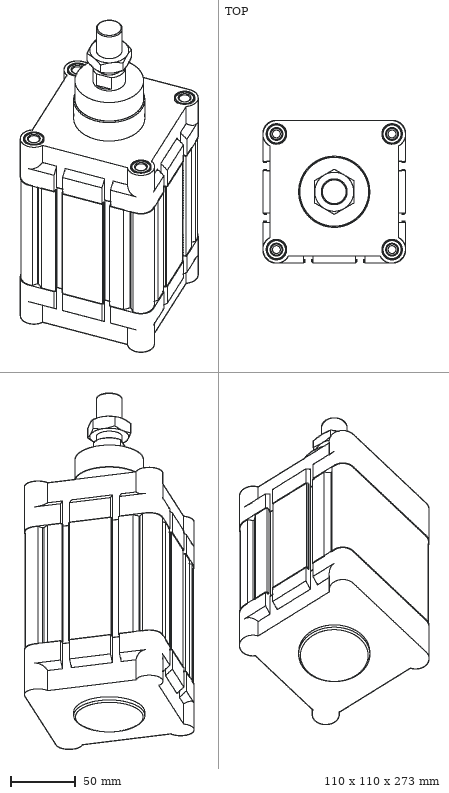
import cadquery as cq
import math


total_height = 273.0
width = 110.0
half_width = width / 2

foot_height = 4.0
cap_height = 38.8
barrel_height = 100.5
collar_base_height = 19.5
collar_neck_height = 18.5
barrel_z = foot_height + cap_height
top_cap_z = barrel_z + barrel_height
cap_top_z = top_cap_z + cap_height
collar_top_z = cap_top_z + collar_base_height + collar_neck_height

collar_diameter = 55.0
neck_diameter = 53.0
collar_chamfer = 0.8
foot_chamfer = 1.5

screw_pitch = 89.0
corner_radius = (width - screw_pitch) / 2
ring_outer_diameter = 15.8
ring_floor_diameter = 15.0
ring_inner_diameter = 14.0
ring_depth = 1.5
socket_mouth_diameter = 9.8
socket_diameter = 8.5
socket_depth = 8.2
socket_chamfer = (socket_mouth_diameter - socket_diameter) / 2
socket_floor_diameter = 6.0
socket_cone_depth = 2.2

rib_depth = 5.5
rib_height = 16.7
rib_slope_height = 5.0
centre_rib_half_width = 16.5
slot_outer_edge = 23.5

barrel_inset = 0.5
barrel_half_width = half_width - barrel_inset
slot_extra_depth = 0.3
slot_floor = half_width - rib_depth - slot_extra_depth
lip_thickness = 2.5
lip_overhang = 0.95
lip_chamfer = 0.68
groove_depth = 3.5
groove_panel_edge = 34.0
groove_floor_inner = 38.0
groove_floor_outer = 39.0
groove_corner_edge = 41.8

profiled_side_angles = (0, 90, -90)

rod_diameter = 25.0
flat_width = 21.8
flat_offset = 1.6
thread_diameter = 20.0
thread_z = 233.1
thread_chamfer = 0.8

nut_z = 240.0
nut_height = 10.5
nut_across_flats = 30.0
nut_chamfer_drop = 1.5
nut_across_corners = nut_across_flats / math.cos(math.pi / 6)


def cylinder(diameter, bottom_z, height):
    return cq.Workplane("XY").workplane(offset=bottom_z).circle(diameter / 2).extrude(height)


def at_screws(workplane):
    return workplane.rect(screw_pitch, screw_pitch, forConstruction=True).vertices()


def rounded_block(side, height):
    radius = corner_radius - (width - side) / 2
    return cq.Workplane("XY").rect(side, side).extrude(height).edges("|Z").fillet(radius)


def cut_profiled_sides(body, cutter):
    for angle in profiled_side_angles:
        body = body.cut(cutter.rotate((0, 0, 0), (0, 0, 1), angle))
    return body


def make_cap():
    """End cap standing on its barrel face at Z = 0, outer face up."""
    recessed_half_width = half_width - rib_depth
    boss_offset = screw_pitch / 2
    core_depth = recessed_half_width + boss_offset
    core = (
        cq.Workplane("XY")
        .center(0, boss_offset - core_depth / 2)
        .rect(2 * recessed_half_width, core_depth)
        .extrude(cap_height)
    )
    plain_side = (
        cq.Workplane("XY")
        .center(0, half_width / 2)
        .rect(screw_pitch, half_width)
        .extrude(cap_height)
    )
    bosses = at_screws(cq.Workplane("XY")).circle(corner_radius).extrude(cap_height)
    cap = core.union(plain_side).union(bosses)

    rib_spans = (
        (-boss_offset, -slot_outer_edge),
        (-centre_rib_half_width, centre_rib_half_width),
        (slot_outer_edge, boss_offset),
    )
    for start, end in rib_spans:
        rib = (
            cq.Workplane("YZ", origin=(start, 0, 0))
            .polyline([
                (-half_width, 0),
                (-half_width, rib_height),
                (-recessed_half_width, rib_height + rib_slope_height),
                (-recessed_half_width, 0),
            ])
            .close()
            .extrude(end - start)
        )
        for angle in profiled_side_angles:
            cap = cap.union(rib.rotate((0, 0, 0), (0, 0, 1), angle))
    return cap


def make_barrel():
    """Extruded barrel with lipped slots and corner grooves, from Z = 0 up."""
    barrel = rounded_block(2 * barrel_half_width, barrel_height)
    lip_back = barrel_half_width - lip_thickness
    mouth_inner = centre_rib_half_width + lip_overhang
    mouth_outer = slot_outer_edge - lip_overhang

    slot = (
        cq.Workplane("XY")
        .polyline([
            (mouth_inner - lip_chamfer, -barrel_half_width),
            (mouth_inner, -barrel_half_width + lip_chamfer),
            (mouth_inner, -lip_back),
            (centre_rib_half_width, -lip_back),
            (centre_rib_half_width, -slot_floor),
            (slot_outer_edge, -slot_floor),
            (slot_outer_edge, -lip_back),
            (mouth_outer, -lip_back),
            (mouth_outer, -barrel_half_width),
        ])
        .close()
        .extrude(barrel_height)
    )
    groove = (
        cq.Workplane("XY")
        .polyline([
            (groove_panel_edge, -barrel_half_width),
            (groove_floor_inner, -barrel_half_width + groove_depth),
            (groove_floor_outer, -barrel_half_width + groove_depth),
            (groove_corner_edge, -barrel_half_width),
        ])
        .close()
        .extrude(barrel_height)
    )
    half_pattern = slot.union(groove)
    return cut_profiled_sides(barrel, half_pattern.union(half_pattern.mirror("YZ")))


def make_collar():
    base = cylinder(collar_diameter, cap_top_z, collar_base_height).faces(">Z").chamfer(collar_chamfer)
    return base.union(cylinder(neck_diameter, cap_top_z, collar_base_height + collar_neck_height))


def make_screw_cutter(profile_points):
    """Revolve (radius, height) points about Z and place a copy at each tie rod in the top face."""
    cutter = cq.Workplane("XZ").polyline(profile_points).close().revolve(360, (0, 0, 0), (0, 1, 0))
    top = cq.Workplane("XY").workplane(offset=cap_top_z)
    return at_screws(top).eachpoint(cutter.val(), useLocalCoordinates=True)


def cut_screw_details(housing):
    """Ring groove with a sloped inner wall, and a socket with a conical end, at each tie rod."""
    rings = make_screw_cutter([
        (ring_inner_diameter / 2, 0),
        (ring_outer_diameter / 2, 0),
        (ring_outer_diameter / 2, -ring_depth),
        (ring_floor_diameter / 2, -ring_depth),
    ])
    sockets = make_screw_cutter([
        (0, 0),
        (socket_mouth_diameter / 2, 0),
        (socket_diameter / 2, -socket_chamfer),
        (socket_diameter / 2, -socket_depth),
        (socket_floor_diameter / 2, -socket_depth - socket_cone_depth),
        (0, -socket_depth - socket_cone_depth),
    ])
    return housing.cut(rings).cut(sockets)


def make_housing():
    cap = make_cap()
    bottom_cap = cap.mirror("XY").translate((0, 0, barrel_z))
    top_cap = cap.translate((0, 0, top_cap_z))
    barrel = make_barrel().translate((0, 0, barrel_z))
    foot = cylinder(collar_diameter, 0, foot_height).faces("<Z").chamfer(foot_chamfer)
    housing = bottom_cap.union(barrel).union(top_cap).union(foot).union(make_collar())
    rod_bore = cylinder(rod_diameter, cap_top_z, collar_top_z - cap_top_z)
    return cut_screw_details(housing).cut(rod_bore)


def make_rod():
    """Piston rod seated in the collar bore, with wrench flats and a threaded end."""
    shank = cylinder(rod_diameter, cap_top_z, thread_z - cap_top_z)
    flats_z = collar_top_z + flat_offset
    flats_height = thread_z - flats_z
    flats_stock = cylinder(rod_diameter, flats_z, flats_height)
    flats_core = (
        cq.Workplane("XY").workplane(offset=flats_z).rect(rod_diameter, flat_width).extrude(flats_height)
    )
    shank = shank.cut(flats_stock.cut(flats_core))
    thread = cylinder(thread_diameter, thread_z, total_height - thread_z)
    return shank.union(thread.faces("<Z or >Z").chamfer(thread_chamfer))


def make_nut():
    """Hexagon nut with corners on the Y axis and both ends chamfered."""
    hexagon = (
        cq.Workplane("XY")
        .workplane(offset=nut_z)
        .transformed(rotate=(0, 0, 90))
        .polygon(6, nut_across_corners)
        .extrude(nut_height)
    )
    corner_trim = (nut_across_corners - nut_across_flats) / 2
    envelope = (
        cylinder(nut_across_corners, nut_z, nut_height)
        .faces("<Z or >Z")
        .chamfer(nut_chamfer_drop, corner_trim)
    )
    return hexagon.intersect(envelope).cut(cylinder(thread_diameter, nut_z, nut_height))


housing = make_housing()
rod = make_rod()
nut = make_nut()
result = cq.Compound.makeCompound([housing.val(), rod.val(), nut.val()])